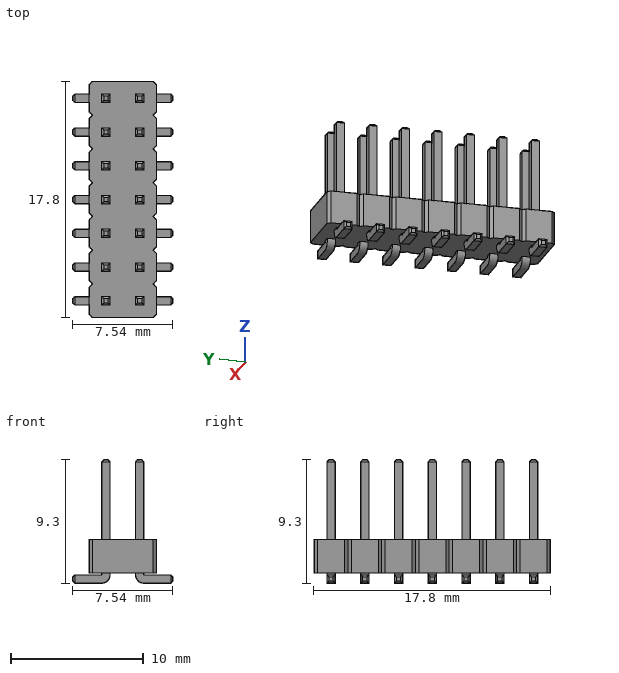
import cadquery as cq

PITCH = 2.54
PINS_PER_ROW = 7
ROWS = 2
SPAN_X = 7.54
TOTAL_HEIGHT = 9.3

PIN_SIZE = 0.64
BEND_RADIUS = PIN_SIZE
TIP_CHAMFER = PIN_SIZE / 4

BODY_GAP = 0.12
BODY_WIDTH = ROWS * PITCH
BODY_HEIGHT = PITCH
CORNER_CHAMFER = PITCH / 10
BODY_BOTTOM = PIN_SIZE + BODY_GAP


def row_position(index):
    """Y of the given pin pair, with the row centred on the origin."""
    return (index - (PINS_PER_ROW - 1) / 2) * PITCH


def make_body():
    """Row of chamfered blocks whose corners form the V notches between them."""
    block = (
        cq.Workplane("XY", origin=(0, 0, BODY_BOTTOM))
        .rect(BODY_WIDTH, PITCH)
        .extrude(BODY_HEIGHT)
        .edges("|Z")
        .chamfer(CORNER_CHAMFER)
    )
    body = block.translate((0, row_position(0), 0))
    for index in range(1, PINS_PER_ROW):
        body = body.union(block.translate((0, row_position(index), 0)))
    return body.clean()


def make_right_pin():
    """Pin of the +X row at Y = 0, with its foot pointing toward +X."""
    inner_x = (PITCH - PIN_SIZE) / 2
    outer_x = inner_x + PIN_SIZE
    foot_end = SPAN_X / 2
    pin = (
        cq.Workplane("XZ")
        .moveTo(inner_x, TOTAL_HEIGHT)
        .lineTo(inner_x, 0)
        .lineTo(foot_end, 0)
        .lineTo(foot_end, PIN_SIZE)
        .lineTo(outer_x, PIN_SIZE)
        .lineTo(outer_x, TOTAL_HEIGHT)
        .close()
        .extrude(PIN_SIZE / 2, both=True)
    )
    pin = pin.edges("|Y").edges("<X and <Z").fillet(BEND_RADIUS)
    pin = pin.faces(">Z").chamfer(TIP_CHAMFER)
    return pin.faces(">X").chamfer(TIP_CHAMFER)


def add_pins(body):
    right_pin = make_right_pin()
    left_pin = right_pin.mirror("YZ")
    for index in range(PINS_PER_ROW):
        offset = (0, row_position(index), 0)
        body = body.union(right_pin.translate(offset))
        body = body.union(left_pin.translate(offset))
    return body


result = add_pins(make_body())